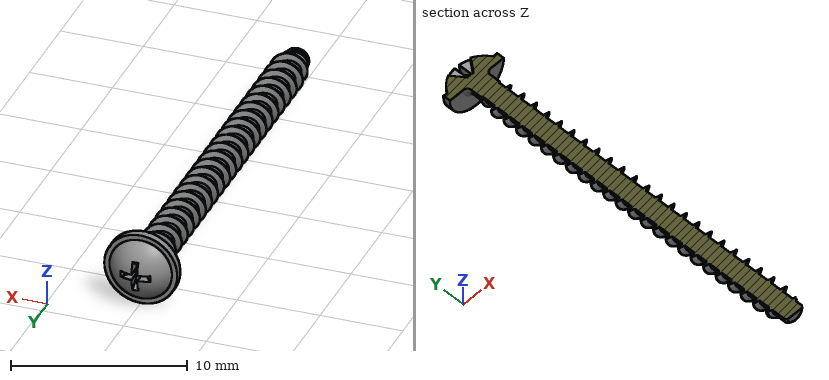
import cadquery as cq
import math

total_length = 26.55
flange_diameter = 4.4
flange_thickness = 0.53
dome_diameter = 3.77
dome_height = 1.05
neck_diameter = 1.6
neck_fillet = 0.3
neck_length = 1.05
core_diameter = 1.43
tip_chamfer = 0.13

recess_span = 2.12
recess_slot_width = 0.35
recess_depth = 1.05
recess_floor_diameter = 0.53

thread_diameter = 2.2
thread_length = 23.72
thread_turns = 24.2
thread_root_width = 0.32
thread_crest_width = 0.05
thread_embed = 0.15
thread_top_depth = 1.2
crest_clearance = 0.05
run_in_length = 1.05
run_in_diameter = 1.7
run_out_length = 1.6

head_height = flange_thickness + dome_height
flange_radius = flange_diameter / 2
dome_radius = dome_diameter / 2
sphere_radius = (dome_radius**2 + dome_height**2) / (2 * dome_height)
recess_corner_radius = recess_slot_width / math.sqrt(2)
apex_loss = sphere_radius - math.sqrt(sphere_radius**2 - recess_corner_radius**2)
shank_length = total_length - head_height + apex_loss
neck_radius = neck_diameter / 2
core_radius = core_diameter / 2
thread_radius = thread_diameter / 2
thread_pitch = thread_length / thread_turns


def head_and_neck():
    """Domed head, flange and filleted neck turned from a single half profile."""
    mid_angle = math.asin(dome_radius / sphere_radius) / 2
    dome_middle = (
        sphere_radius * math.sin(mid_angle),
        head_height - sphere_radius * (1 - math.cos(mid_angle)),
    )
    fillet_offset = neck_fillet * (1 - math.sqrt(0.5))
    fillet_middle = (neck_radius + fillet_offset, -fillet_offset)
    profile = (
        cq.Workplane("XZ")
        .moveTo(0, head_height)
        .threePointArc(dome_middle, (dome_radius, flange_thickness))
        .lineTo(flange_radius, flange_thickness)
        .lineTo(flange_radius, 0)
        .lineTo(neck_radius + neck_fillet, 0)
        .threePointArc(fillet_middle, (neck_radius, -neck_fillet))
        .lineTo(neck_radius, -neck_length)
        .lineTo(0, -neck_length)
        .close()
    )
    return profile.revolve(360, (0, 0, 0), (0, 1, 0))


def core():
    """Plain cylindrical core from the neck to the chamfered tip."""
    cylinder = (
        cq.Workplane("XY")
        .workplane(offset=-neck_length)
        .circle(core_radius)
        .extrude(neck_length - shank_length)
    )
    return cylinder.faces("<Z").chamfer(tip_chamfer)


def cross_recess():
    """Cross-shaped cutter whose arms taper towards the floor of the recess."""
    floor = head_height - recess_depth
    slot = cq.Workplane("XY").workplane(offset=floor)
    cross = slot.rect(recess_span, recess_slot_width).extrude(recess_depth)
    cross = cross.union(slot.rect(recess_slot_width, recess_span).extrude(recess_depth))
    taper = (
        cq.Workplane("XY")
        .workplane(offset=floor)
        .circle(recess_floor_diameter / 2)
        .workplane(offset=recess_depth)
        .circle(recess_span / 2)
        .loft()
    )
    return cross.intersect(taper)


def thread_envelope():
    """Solid that limits the crest: coned at the neck and at the tip."""
    outer_radius = thread_radius + crest_clearance
    return (
        cq.Workplane("XZ")
        .moveTo(0, -neck_length)
        .lineTo(run_in_diameter / 2, -neck_length)
        .lineTo(outer_radius, -neck_length - run_in_length)
        .lineTo(outer_radius, run_out_length - shank_length)
        .lineTo(core_radius - tip_chamfer, -shank_length)
        .lineTo(0, -shank_length)
        .close()
        .revolve(360, (0, 0, 0), (0, 1, 0))
    )


def thread_ridge():
    """Right-hand helical ridge with a trapezoidal section and faded ends."""
    foot_radius = core_radius - thread_embed
    section = cq.Workplane("XZ").polyline(
        [
            (foot_radius, -thread_root_width / 2),
            (thread_radius, -thread_crest_width / 2),
            (thread_radius, thread_crest_width / 2),
            (foot_radius, thread_root_width / 2),
        ]
    ).close()
    helix = cq.Wire.makeHelix(thread_pitch, thread_length, core_radius)
    ridge = section.sweep(cq.Workplane(helix), isFrenet=True)
    end_angle = 360 * thread_turns
    ridge = ridge.rotate((0, 0, 0), (0, 0, 1), 180 - end_angle)
    ridge = ridge.translate((0, 0, -thread_top_depth - thread_length))
    return ridge.intersect(thread_envelope())


threaded_shank = core().union(thread_ridge())
screw = head_and_neck().union(threaded_shank).cut(cross_recess())
result = screw.rotate((0, 0, 0), (1, 0, 0), -90).solids()